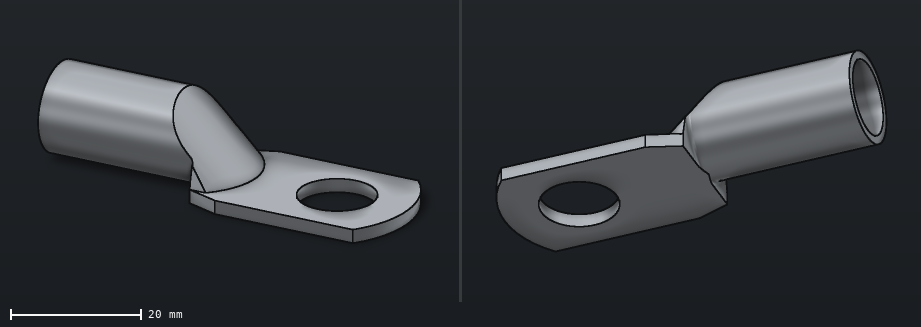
import cadquery as cq
import math

length = 60.45
palm_width = 21.5
palm_thickness = 2.3
barrel_radius = 14.8 / 2
bore_radius = 6.05
bore_depth = 19.95

slope_start_x = 21.5
shoulder_x = 27.1
full_width_x = 32.5
tip_arc_x = 56.5
hole_x = 48.05

hole_diameter = 12.45
shoulder_half_width = 8.8
shoulder_fillet = 0.6
slope_crown_radius = 14.8
slope_angle = 45.0
palm_half_width = palm_width / 2
barrel_height = 2 * barrel_radius


def make_palm():
    return (
        cq.Workplane("XY")
        .moveTo(shoulder_x, -shoulder_half_width)
        .lineTo(full_width_x, -palm_half_width)
        .lineTo(tip_arc_x, -palm_half_width)
        .threePointArc((length, 0), (tip_arc_x, palm_half_width))
        .lineTo(full_width_x, palm_half_width)
        .lineTo(shoulder_x, shoulder_half_width)
        .close()
        .extrude(palm_thickness)
    )


def make_barrel():
    return (
        cq.Workplane("YZ")
        .center(0, barrel_radius)
        .circle(barrel_radius)
        .extrude(full_width_x)
    )


def make_neck(start_x):
    """Solid whose flanks run from the palm up to tangency with the barrel."""
    corner_drop = barrel_radius - palm_thickness
    corner_distance = math.hypot(shoulder_half_width, corner_drop)
    tangent_angle = (
        math.acos(barrel_radius / corner_distance)
        - math.atan2(corner_drop, shoulder_half_width)
    )
    tangent_y = barrel_radius * math.cos(tangent_angle)
    tangent_z = barrel_radius * (1 + math.sin(tangent_angle))
    return (
        cq.Workplane("YZ", origin=(start_x, 0, 0))
        .moveTo(-shoulder_half_width, 0)
        .lineTo(shoulder_half_width, 0)
        .lineTo(shoulder_half_width, palm_thickness)
        .lineTo(tangent_y, tangent_z)
        .threePointArc((0, barrel_height), (-tangent_y, tangent_z))
        .lineTo(-shoulder_half_width, palm_thickness)
        .close()
        .extrude(length - start_x)
    )


def make_shoulder_fillet():
    """Concave ring joining the barrel to the rear face of the neck."""
    start_x = shoulder_x - shoulder_fillet
    outer_radius = barrel_radius + shoulder_fillet
    diagonal = shoulder_fillet * math.sin(math.radians(45))
    ring = (
        cq.Workplane("XY", origin=(0, 0, barrel_radius))
        .moveTo(start_x, 0)
        .lineTo(start_x, barrel_radius)
        .threePointArc(
            (start_x + diagonal, outer_radius - diagonal),
            (shoulder_x, outer_radius),
        )
        .lineTo(shoulder_x, 0)
        .close()
        .revolve(360, (0, 0, 0), (1, 0, 0))
    )
    return ring.intersect(make_neck(start_x))


def make_slope_envelope():
    """Long cylinder whose crown line is the ridge of the sloping top."""
    angle = math.radians(slope_angle)
    direction = cq.Vector(math.cos(angle), 0, -math.sin(angle))
    outward = cq.Vector(math.sin(angle), 0, math.cos(angle))
    ridge_start = cq.Vector(slope_start_x, 0, barrel_height)
    axis_start = ridge_start - outward * slope_crown_radius - direction * length
    return cq.Workplane(
        cq.Solid.makeCylinder(slope_crown_radius, 2 * length, axis_start, direction)
    )


def make_slope_cutter():
    """Everything ahead of the slope start that lies outside the slope envelope."""
    front_block = cq.Workplane("XY").box(
        length, palm_width, barrel_height, centered=(False, True, False)
    ).translate((slope_start_x, 0, 0))
    return front_block.cut(make_slope_envelope())


upper = make_barrel().union(make_neck(shoulder_x)).union(make_shoulder_fillet())
bore = cq.Workplane("YZ").center(0, barrel_radius).circle(bore_radius).extrude(bore_depth)
hole = (
    cq.Workplane("XY")
    .center(hole_x, 0)
    .circle(hole_diameter / 2)
    .extrude(palm_thickness)
)

result = upper.cut(make_slope_cutter()).union(make_palm()).cut(bore).cut(hole)